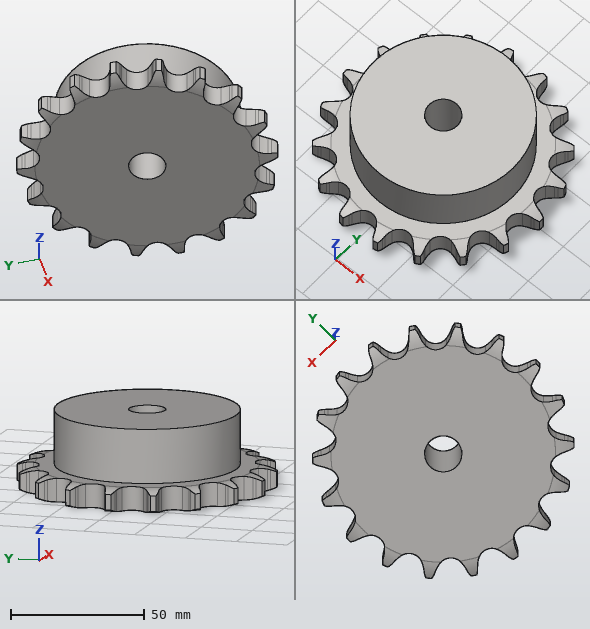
import cadquery as cq
import math

tooth_count = 18
pitch_radius = 45.7
roller_diameter = 10.1
seating_radius = 5.1
tip_radius = 49.15
disc_thickness = 9.1
shoulder_radius = 42.2
side_round_radius = 16.0
hub_diameter = 70.0
bore_diameter = 14.0
total_height = 30.0

seating_angle = 35 + 60 / tooth_count
working_angle = 18 - 56 / tooth_count
topping_offset_angle = 17 - 64 / tooth_count
working_center_distance = 0.8 * roller_diameter
topping_center_distance = 1.4 * roller_diameter
working_radius = seating_radius + working_center_distance
straight_length = (
    topping_center_distance * math.sin(math.radians(topping_offset_angle))
    - working_center_distance * math.sin(math.radians(working_angle))
)
topping_radius = (
    working_center_distance * math.cos(math.radians(working_angle))
    + topping_center_distance * math.cos(math.radians(topping_offset_angle))
    - working_radius
)
topping_span = 25


def offset(point, distance, angle):
    """Move a point by a distance along a direction given in degrees."""
    direction = math.radians(angle)
    return (point[0] + distance * math.cos(direction), point[1] + distance * math.sin(direction))


def mirrored(point):
    return (-point[0], point[1])


def make_blank():
    """Revolved disc whose rim is rounded on both sides."""
    round_depth = tip_radius - shoulder_radius

    def rim_drop(radial_distance):
        return side_round_radius - math.sqrt(side_round_radius**2 - radial_distance**2)

    middle_radius = shoulder_radius + round_depth / 2
    middle_drop = rim_drop(round_depth / 2)
    tip_drop = rim_drop(round_depth)
    return (
        cq.Workplane("XZ")
        .lineTo(shoulder_radius, 0)
        .threePointArc((middle_radius, middle_drop), (tip_radius, tip_drop))
        .lineTo(tip_radius, disc_thickness - tip_drop)
        .threePointArc((middle_radius, disc_thickness - middle_drop), (shoulder_radius, disc_thickness))
        .lineTo(0, disc_thickness)
        .close()
        .revolve(360, (0, 0, 0), (0, 1, 0))
    )


def make_tooth_gap():
    """Cutter for the gap between two teeth, symmetric about +Y."""
    roller_center = (0, pitch_radius)
    flank_angle = working_angle - seating_angle
    working_center = offset(roller_center, -working_center_distance, -seating_angle)

    root = offset(roller_center, seating_radius, -90)
    seating_end = offset(roller_center, seating_radius, -seating_angle)
    working_middle = offset(working_center, working_radius, -seating_angle + working_angle / 2)
    working_end = offset(working_center, working_radius, flank_angle)
    straight_end = offset(working_end, straight_length, flank_angle + 90)
    topping_center = offset(straight_end, topping_radius, flank_angle)
    topping_start_angle = flank_angle + 180
    topping_middle = offset(topping_center, topping_radius, topping_start_angle - topping_span / 2)
    topping_end = offset(topping_center, topping_radius, topping_start_angle - topping_span)

    return (
        cq.Workplane("XY")
        .moveTo(*mirrored(topping_end))
        .threePointArc(mirrored(topping_middle), mirrored(straight_end))
        .lineTo(*mirrored(working_end))
        .threePointArc(mirrored(working_middle), mirrored(seating_end))
        .threePointArc(root, seating_end)
        .threePointArc(working_middle, working_end)
        .lineTo(*straight_end)
        .threePointArc(topping_middle, topping_end)
        .close()
        .extrude(disc_thickness)
    )


result = make_blank()
tooth_gap = make_tooth_gap()
for index in range(tooth_count):
    result = result.cut(tooth_gap.rotate((0, 0, 0), (0, 0, 1), index * 360 / tooth_count))

hub = cq.Workplane("XY").circle(hub_diameter / 2).extrude(total_height)
bore = cq.Workplane("XY").circle(bore_diameter / 2).extrude(total_height)
result = result.union(hub).cut(bore)